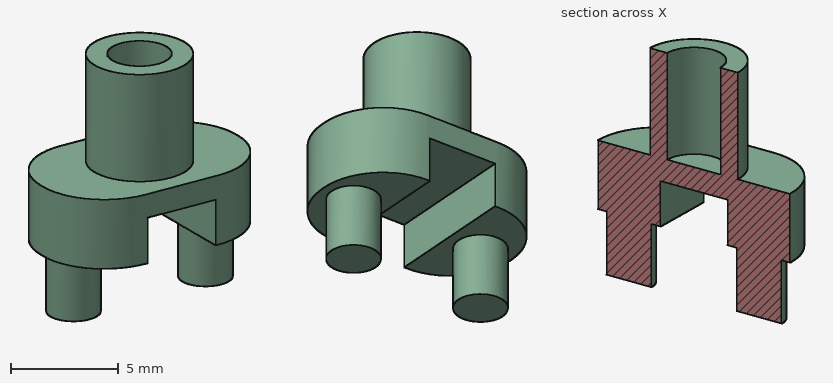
import cadquery as cq

base_width = 7.0
base_length = 10.9
base_height = 3.5
corner_radius = 3.4

channel_width = 3.8
web_thickness = 1.2
channel_depth = base_height - web_thickness

boss_diameter = 5.0
boss_height = 5.4
bore_diameter = 3.0
bore_depth = boss_height

pin_diameter = 2.56
pin_length = 3.2
pin_spacing = 7.4


def make_base():
    """Rounded block standing on Z = 0."""
    block = cq.Workplane("XY").box(base_width, base_length, base_height, centered=(True, True, False))
    return block.edges("|Z").fillet(corner_radius)


def make_channel():
    """Volume removed from the underside, across the full width."""
    return cq.Workplane("XY").box(base_width, channel_width, channel_depth, centered=(True, True, False))


def make_boss():
    """Solid cylinder standing on the top of the base."""
    return cq.Workplane("XY").workplane(offset=base_height).circle(boss_diameter / 2).extrude(boss_height)


def make_bore():
    """Blind bore, measured down from the top of the boss."""
    boss_top = base_height + boss_height
    return cq.Workplane("XY").workplane(offset=boss_top).circle(bore_diameter / 2).extrude(-bore_depth)


def make_pin(y_position):
    """Pin hanging below the base."""
    return cq.Workplane("XY").center(0, y_position).circle(pin_diameter / 2).extrude(-pin_length)


result = make_base().cut(make_channel()).union(make_boss()).cut(make_bore())
for side in (-1, 1):
    result = result.union(make_pin(side * pin_spacing / 2))